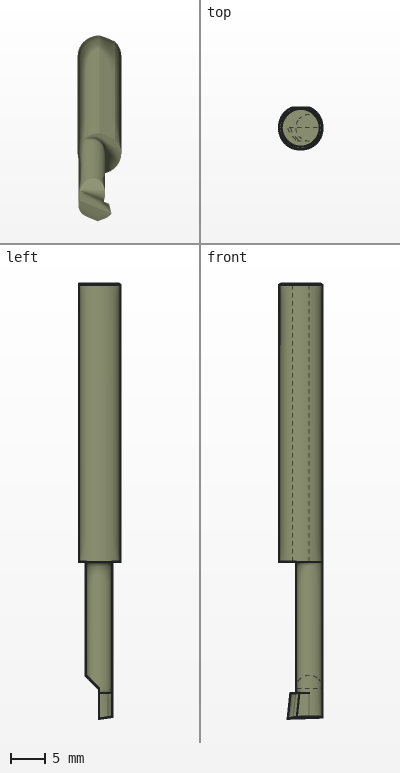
import cadquery as cq
import math

total_length = 63.49
shank_diameter = 6.35
shank_length = 40.6
shank_flat_y = 2.925
shank_chamfer_radial = 0.4
shank_chamfer_height = 0.25

neck_diameter = 3.9

face_height = 4.4
runout_angle = 45

tooth_height = 3.75
tip_x = -1.91
heel_x = -1.13
heel_y = -1.35
back_x = -0.6
relief_bulge = 0.1
tooth_side_angle = 6

end_angle_x = 2
end_angle_y = 7

shank_radius = shank_diameter / 2
neck_radius = neck_diameter / 2
neck_x = shank_radius - neck_radius
shank_bottom = total_length - shank_length


def make_shank():
    """Round shank with a chamfered top end and a full-length flat."""
    body = cq.Workplane("XY").workplane(offset=shank_bottom).circle(shank_radius).extrude(shank_length)
    body = body.faces(">Z").chamfer(shank_chamfer_height, shank_chamfer_radial)
    flat_cutter = (
        cq.Workplane("XY")
        .box(shank_diameter, shank_radius, total_length, centered=(True, False, False))
        .translate((0, shank_flat_y, 0))
    )
    return body.cut(flat_cutter)


def make_neck():
    """Eccentric round neck, cut back to half its section near the tip."""
    body = cq.Workplane("XY").center(neck_x, 0).circle(neck_radius).extrude(shank_bottom)
    runout_height = face_height + neck_diameter * math.tan(math.radians(runout_angle))
    relief = (
        cq.Workplane("YZ")
        .polyline([(0, 0), (neck_diameter, 0), (neck_diameter, runout_height), (0, face_height)])
        .close()
        .extrude(shank_diameter, both=True)
    )
    return body.cut(relief)


def draw_tooth_outline(plane, lean):
    """Add the tooth section to the plane, its three free corners moved by lean along +X."""
    tip = (tip_x + lean, 0)
    heel = (heel_x + lean, heel_y)
    chord = math.dist(tip, heel)
    flank_middle = (
        (tip[0] + heel[0]) / 2 + relief_bulge * heel_y / chord,
        heel_y / 2 - relief_bulge * (heel_x - tip_x) / chord,
    )
    return (
        plane.moveTo(*tip)
        .threePointArc(flank_middle, heel)
        .lineTo(back_x + lean, -neck_radius)
        .lineTo(neck_x, -neck_radius)
        .lineTo(neck_x, 0)
        .close()
    )


def make_tooth():
    """Cutting tooth with leaning flanks, narrowing upward."""
    top_lean = tooth_height * math.tan(math.radians(tooth_side_angle))
    bottom_section = draw_tooth_outline(cq.Workplane("XY"), 0)
    top_plane = bottom_section.workplane(offset=tooth_height, origin=(0, 0, 0))
    return draw_tooth_outline(top_plane, top_lean).loft(ruled=True)


def make_end_cutter():
    """Block below the inclined end face, which passes through the tip."""
    end_normal = (-math.tan(math.radians(end_angle_x)), math.tan(math.radians(end_angle_y)), 1)
    end_plane = cq.Plane(origin=(tip_x, 0, 0), xDir=(0, 1, 0), normal=end_normal)
    side = 4 * shank_diameter
    return cq.Workplane(end_plane).rect(side, side).extrude(-shank_diameter)


result = make_shank().union(make_neck()).union(make_tooth()).cut(make_end_cutter())